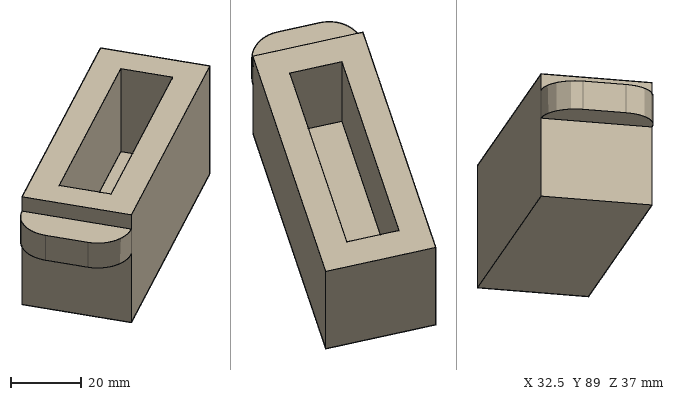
import cadquery as cq
import math

total_length = 89.0
body_width = 32.5
body_height = 37.0
wall = 8.5
tab_reach = 10.0
tab_thickness = 8.5
tab_drop = 4.9

body_length = total_length - tab_reach
tab_top = body_height - tab_drop


def make_body():
    """Block with its front face on Y = 0, standing on Z = 0."""
    return cq.Workplane("XY").box(body_width, body_length, body_height, centered=(True, False, False))


def make_pocket():
    """Open-topped rectangular cavity leaving an even wall and floor."""
    return (
        cq.Workplane("XY")
        .box(
            body_width - 2 * wall,
            body_length - 2 * wall,
            body_height - wall,
            centered=(True, False, False),
        )
        .translate((0, wall, wall))
    )


def make_tab():
    """Full-width lip on the front face with quarter-round outer corners."""
    half_width = body_width / 2
    half_flat = half_width - tab_reach
    diagonal = tab_reach * math.sqrt(0.5)
    return (
        cq.Workplane("XY")
        .workplane(offset=tab_top - tab_thickness)
        .moveTo(-half_width, 0)
        .threePointArc((-half_flat - diagonal, -diagonal), (-half_flat, -tab_reach))
        .lineTo(half_flat, -tab_reach)
        .threePointArc((half_flat + diagonal, -diagonal), (half_width, 0))
        .close()
        .extrude(tab_thickness)
    )


result = make_body().cut(make_pocket()).union(make_tab())